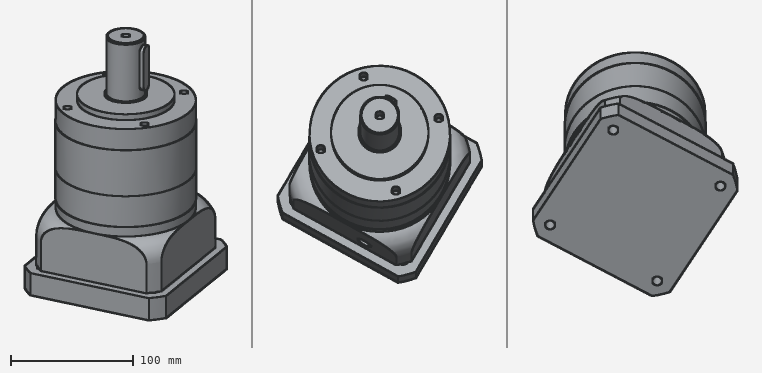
import cadquery as cq
import math

PLATE_TOP = 20.0
SHOULDER = 64.0
HOUSING_TOP = 72.5
LOWER_RING_TOP = 100.3
UPPER_RING_TOP = 141.5
FLANGE_TOP = 160.5
PILOT_TOP = 165.8
SHAFT_TOP = 218.5

PLATE_SIDE = 130.0
PLATE_CORNER_RADIUS = 84.8
PLATE_HOLE_DIAMETER = 8.0
PLATE_HOLE_CIRCLE_RADIUS = 71.9

HOUSING_SIDE = 115.0
HOUSING_CORNER_RADIUS = 75.2
CAVITY_RADIUS = 43.7
CAVITY_TOP = 47.0
HUB_RADIUS = 25.0
ACCESS_HOLE_DIAMETER = 13.0
ACCESS_HOLE_Y = -18.1
ACCESS_HOLE_Z = 34.7

RING_DIAMETER = 115.5

PILOT_DIAMETER = 79.8
COLLAR_RADIUS = 17.5
COLLAR_HEIGHT = 0.7
SHAFT_RADIUS = 16.0
SHAFT_CHAMFER = 1.0
TAP_DIAMETER = 6.8
TAP_DEPTH = 13.1
DRILL_POINT_ANGLE = 118
FLANGE_HOLE_CIRCLE_RADIUS = 50.0

KEY_BOTTOM = 173.3
KEY_LENGTH = 40.0
KEY_WIDTH = 10.0
KEY_OUTER_X = 19.0
KEY_HEIGHT = 8.0

CORNER_ANGLES = (45, 135, 225, 315)


def disc(radius, bottom, top):
    """Solid round disc on the Z axis between two levels."""
    return cq.Workplane("XY", origin=(0, 0, bottom)).circle(radius).extrude(top - bottom)


def square_block(side, bottom, top):
    """Solid square block centred on the Z axis between two levels."""
    return cq.Workplane("XY", origin=(0, 0, bottom)).rect(side, side).extrude(top - bottom)


def corner_points(radius):
    """Four points on a circle, one toward each corner of the square."""
    return [
        (radius * math.cos(math.radians(angle)), radius * math.sin(math.radians(angle)))
        for angle in CORNER_ANGLES
    ]


def tapped_hole(x, y, top):
    """Cutter for a blind hole going down from a face and ending in a drill point."""
    radius = TAP_DIAMETER / 2
    point_length = radius / math.tan(math.radians(DRILL_POINT_ANGLE / 2))
    outline = (
        cq.Workplane("XZ")
        .moveTo(0, 0)
        .lineTo(radius, 0)
        .lineTo(radius, -TAP_DEPTH)
        .lineTo(0, -TAP_DEPTH - point_length)
        .close()
    )
    return outline.revolve(360, (0, 0, 0), (0, 1, 0)).translate((x, y, top))


def make_motor_plate():
    """Square plate with its corners turned to a circle and four bolt holes."""
    plate = square_block(PLATE_SIDE, 0, PLATE_TOP).intersect(disc(PLATE_CORNER_RADIUS, 0, PLATE_TOP))
    holes = (
        cq.Workplane("XY")
        .pushPoints(corner_points(PLATE_HOLE_CIRCLE_RADIUS))
        .circle(PLATE_HOLE_DIAMETER / 2)
        .extrude(PLATE_TOP)
    )
    return plate.cut(holes)


def make_input_housing():
    """Square housing with domed corners, a round neck and a hub inside a ring-shaped cavity."""
    neck_radius = HOUSING_SIDE / 2
    round_over = HOUSING_CORNER_RADIUS - neck_radius
    dome = (
        cq.Workplane("XZ")
        .moveTo(0, PLATE_TOP)
        .lineTo(HOUSING_CORNER_RADIUS, PLATE_TOP)
        .lineTo(HOUSING_CORNER_RADIUS, SHOULDER - round_over)
        .radiusArc((neck_radius, SHOULDER), -round_over)
        .lineTo(0, SHOULDER)
        .close()
        .revolve(360, (0, 0, 0), (0, 1, 0))
    )
    housing = square_block(HOUSING_SIDE, PLATE_TOP, SHOULDER).intersect(dome)
    housing = housing.union(disc(neck_radius, SHOULDER, HOUSING_TOP))

    cavity = disc(CAVITY_RADIUS, PLATE_TOP, CAVITY_TOP).cut(disc(HUB_RADIUS, PLATE_TOP, CAVITY_TOP))

    access_hole = (
        cq.Workplane("YZ", origin=(-HOUSING_SIDE / 2, ACCESS_HOLE_Y, ACCESS_HOLE_Z))
        .circle(ACCESS_HOLE_DIAMETER / 2)
        .extrude(HOUSING_SIDE / 2)
        .cut(disc(HUB_RADIUS, PLATE_TOP, CAVITY_TOP))
    )
    return housing.cut(cavity).cut(access_hole)


def make_gear_ring(bottom, top):
    """One round gear stage."""
    return disc(RING_DIAMETER / 2, bottom, top)


def make_key():
    """Round-ended key standing upright, facing +X."""
    return (
        cq.Workplane("YZ", origin=(KEY_OUTER_X - KEY_HEIGHT, 0, KEY_BOTTOM + KEY_LENGTH / 2))
        .slot2D(KEY_LENGTH, KEY_WIDTH, 90)
        .extrude(KEY_HEIGHT)
    )


def make_output_flange():
    """Flange with pilot, collar, keyed shaft and tapped holes."""
    flange = disc(HOUSING_SIDE / 2, UPPER_RING_TOP, FLANGE_TOP)
    flange = flange.union(disc(PILOT_DIAMETER / 2, FLANGE_TOP, PILOT_TOP))

    collar = disc(COLLAR_RADIUS, PILOT_TOP, PILOT_TOP + COLLAR_HEIGHT)
    shaft = disc(SHAFT_RADIUS, PILOT_TOP, SHAFT_TOP).faces(">Z").chamfer(SHAFT_CHAMFER)
    flange = flange.union(collar).union(shaft).union(make_key())

    flange = flange.cut(tapped_hole(0, 0, SHAFT_TOP))
    for x, y in corner_points(FLANGE_HOLE_CIRCLE_RADIUS):
        flange = flange.cut(tapped_hole(x, y, FLANGE_TOP))
    return flange


motor_plate = make_motor_plate()
input_housing = make_input_housing()
lower_ring = make_gear_ring(HOUSING_TOP, LOWER_RING_TOP)
upper_ring = make_gear_ring(LOWER_RING_TOP, UPPER_RING_TOP)
output_flange = make_output_flange()

result = cq.Compound.makeCompound([
    motor_plate.val(),
    input_housing.val(),
    lower_ring.val(),
    upper_ring.val(),
    output_flange.val(),
])